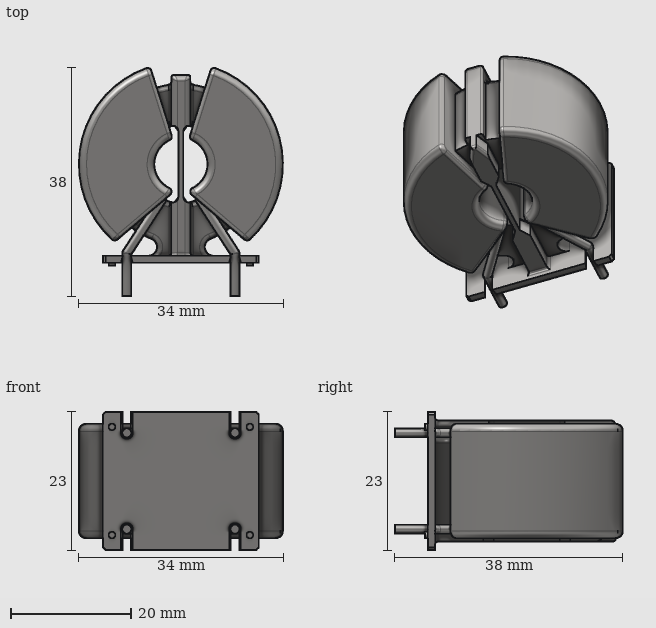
import cadquery as cq
import math


WINDING_OUTER_R = 17.005
WINDING_INNER_R = 4.4
WINDING_HALF_HEIGHT = 9.55
WINDING_ROUND = 1.25
WINDING_END_ROUND = 0.7
REAR_END_ANGLE = 17.5
LEAD_END_ANGLE = 40.3
LEAD_END_OFFSET = 2.75

CASE_OUTER_R = 13.38
CASE_INNER_R = 6.5
CASE_HALF_HEIGHT = 7.3
CASE_ROUND = 0.9
NECK_HALF_WIDTH = 4.0

PLATE_BACK_Y = -15.25
PLATE_THICKNESS = 1.2
PLATE_FRONT_Y = PLATE_BACK_Y - PLATE_THICKNESS
PLATE_WIDTH = 26.0
PLATE_HEIGHT = 23.0
PLATE_CHAMFER = 0.45
FOOT_DIAMETER = 1.1
FOOT_HEIGHT = 0.5
FOOT_X = 11.48
FOOT_Z = 9.0

SPINE_HALF_WIDTH = 1.6
SPINE_HALF_HEIGHT = 10.1
SPINE_END_Y = 14.85
SPINE_TOP_ROUND = 1.0
SPINE_END_ROUND = 0.4
SPINE_FOOT_ROUND = 0.45
WEB_HALF_WIDTH = 0.4
WEB_ROUND = 0.87
LOWER_WEB_END_Y = 5.47
LOWER_SPINE_START_Y = 7.25
LOWER_TAPER_START_Y = 12.43
LOWER_TIP_HALF_WIDTH = 0.55
LOWER_TIP_ROUND = 0.57

WIRE_R = 0.75
WIRE_X = 9.0
WIRE_Z = 8.0
WIRE_BEND_Y = -14.82
WIRE_TIP_Y = -21.95
WIRE_SLOPE = 57.0
WIRE_RUN = 11.02
SLOT_FRONT_WIDTH = 1.98
SLOT_BACK_WIDTH = 1.35


def make_winding():
    """Right-hand winding: a rounded ring section trimmed by two end planes."""
    section = (
        cq.Sketch()
        .rect(WINDING_OUTER_R - WINDING_INNER_R, 2 * WINDING_HALF_HEIGHT)
        .vertices()
        .fillet(WINDING_ROUND)
    )
    mid_r = (WINDING_INNER_R + WINDING_OUTER_R) / 2
    ring = (
        cq.Workplane("XZ", origin=(mid_r, 0, 0))
        .placeSketch(section)
        .revolve(360, (-mid_r, 0, 0), (-mid_r, 1, 0))
    )
    reach = 3 * WINDING_OUTER_R
    rear = math.radians(REAR_END_ANGLE)
    lead = math.radians(LEAD_END_ANGLE)
    tip_distance = LEAD_END_OFFSET / math.cos(lead - rear)
    tip_x = -tip_distance * math.sin(rear)
    tip_y = -tip_distance * math.cos(rear)
    wedge = (
        cq.Workplane("XY", origin=(0, 0, -WINDING_HALF_HEIGHT))
        .moveTo(tip_x, tip_y)
        .lineTo(tip_x + reach * math.cos(lead), tip_y - reach * math.sin(lead))
        .lineTo(reach, reach)
        .lineTo(reach * math.sin(rear), reach * math.cos(rear))
        .close()
        .extrude(2 * WINDING_HALF_HEIGHT)
    )
    return ring.intersect(wedge).faces("%PLANE and #Z").edges().fillet(WINDING_END_ROUND)


def make_case():
    """Ring case with a waisted neck that flares into the base plate."""
    drop = -PLATE_BACK_Y
    half_sum = drop + CASE_OUTER_R - NECK_HALF_WIDTH
    square_gap = NECK_HALF_WIDTH ** 2 + drop ** 2 - CASE_OUTER_R ** 2
    waist_r = half_sum - math.sqrt(half_sum ** 2 - square_gap)
    waist_x = NECK_HALF_WIDTH + waist_r
    waist_y = PLATE_BACK_Y + waist_r
    reach = CASE_OUTER_R / (CASE_OUTER_R + waist_r)
    touch_x = waist_x * reach
    touch_y = waist_y * reach
    outline = (
        cq.Workplane("XY", origin=(0, 0, -CASE_HALF_HEIGHT))
        .moveTo(waist_x, PLATE_BACK_Y)
        .threePointArc((NECK_HALF_WIDTH, waist_y), (touch_x, touch_y))
        .threePointArc((0, CASE_OUTER_R), (-touch_x, touch_y))
        .threePointArc((-NECK_HALF_WIDTH, waist_y), (-waist_x, PLATE_BACK_Y))
        .close()
        .extrude(2 * CASE_HALF_HEIGHT)
    )
    hole = cq.Workplane("XY").circle(CASE_INNER_R).extrude(CASE_HALF_HEIGHT, both=True)
    return outline.cut(hole).faces(">Z").edges("%CIRCLE").fillet(CASE_ROUND)


def make_separator():
    """Thin web across the hole that runs into a spine on either side."""
    spine_length = SPINE_END_Y - PLATE_BACK_Y
    mid_y = (SPINE_END_Y + PLATE_BACK_Y) / 2
    upper_height = SPINE_HALF_HEIGHT + CASE_HALF_HEIGHT
    upper = (
        cq.Workplane("XY", origin=(0, mid_y, -CASE_HALF_HEIGHT))
        .box(2 * SPINE_HALF_WIDTH, spine_length, upper_height, centered=(True, True, False))
    )
    upper = upper.edges("|Z and >Y").fillet(SPINE_END_ROUND)
    upper = upper.faces(">Z").edges("not <Y").fillet(SPINE_TOP_ROUND)

    pocket = (
        cq.Workplane("XY", origin=(0, 0, -CASE_HALF_HEIGHT))
        .circle(CASE_INNER_R)
        .extrude(upper_height)
        .intersect(
            cq.Workplane("XY", origin=(WEB_HALF_WIDTH, 0, -CASE_HALF_HEIGHT))
            .box(CASE_INNER_R, 2 * CASE_INNER_R, upper_height, centered=(False, True, False))
        )
        .edges("|Z and <X")
        .fillet(WEB_ROUND)
    )
    upper = upper.cut(pocket).cut(pocket.mirror("YZ"))

    right_side = [
        (SPINE_HALF_WIDTH, PLATE_BACK_Y),
        (SPINE_HALF_WIDTH, -LOWER_SPINE_START_Y),
        (WEB_HALF_WIDTH, -LOWER_WEB_END_Y),
        (WEB_HALF_WIDTH, LOWER_WEB_END_Y),
        (SPINE_HALF_WIDTH, LOWER_SPINE_START_Y),
        (SPINE_HALF_WIDTH, LOWER_TAPER_START_Y),
        (LOWER_TIP_HALF_WIDTH, SPINE_END_Y),
    ]
    left_side = [(-x, y) for x, y in reversed(right_side)]
    lower = (
        cq.Workplane("XY", origin=(0, 0, -SPINE_HALF_HEIGHT))
        .polyline(right_side + left_side)
        .close()
        .extrude(SPINE_HALF_HEIGHT - CASE_HALF_HEIGHT)
    )
    tip_region = cq.selectors.BoxSelector(
        (-SPINE_HALF_WIDTH, LOWER_TAPER_START_Y, -SPINE_HALF_HEIGHT),
        (SPINE_HALF_WIDTH, SPINE_END_Y + 0.38, -CASE_HALF_HEIGHT),
    )
    lower = lower.faces("<Z").edges(tip_region).fillet(LOWER_TIP_ROUND)
    return upper.union(lower)


def make_plate():
    """Base plate with chamfered corners, four tapered lead slots and four feet."""
    plate = (
        cq.Workplane("XZ", origin=(0, PLATE_BACK_Y, 0))
        .rect(PLATE_WIDTH, PLATE_HEIGHT)
        .extrude(PLATE_THICKNESS)
        .edges("|Y")
        .chamfer(PLATE_CHAMFER)
    )
    taper = math.degrees(math.atan((SLOT_FRONT_WIDTH - SLOT_BACK_WIDTH) / 2 / PLATE_THICKNESS))
    slot_length = PLATE_HEIGHT
    for x in (-WIRE_X, WIRE_X):
        for side in (-1, 1):
            slot = (
                cq.Workplane("XZ", origin=(x, PLATE_FRONT_Y, side * (WIRE_Z + slot_length / 2)))
                .slot2D(slot_length + SLOT_FRONT_WIDTH, SLOT_FRONT_WIDTH, 90)
                .extrude(-PLATE_THICKNESS, taper=taper)
            )
            plate = plate.cut(slot)
    feet = (
        cq.Workplane("XZ", origin=(0, PLATE_FRONT_Y, 0))
        .rect(2 * FOOT_X, 2 * FOOT_Z, forConstruction=True)
        .vertices()
        .circle(FOOT_DIAMETER / 2)
        .extrude(FOOT_HEIGHT)
    )
    return plate.union(feet)


def make_frame():
    """Base plate joined to the separator, with a rounded inside corner all round the spine."""
    margin = 0.05
    joint = cq.selectors.BoxSelector(
        (-SPINE_HALF_WIDTH - margin, PLATE_BACK_Y - margin, -SPINE_HALF_HEIGHT - margin),
        (SPINE_HALF_WIDTH + margin, PLATE_BACK_Y + margin, SPINE_HALF_HEIGHT + margin),
        boundingbox=True,
    )
    return make_plate().union(make_separator()).edges(joint).fillet(SPINE_FOOT_ROUND)


def make_spine_foot():
    """Concave strips along the right side of the spine, on top of the case, that follow its rims."""
    depth = CASE_ROUND / 4
    rim_z = CASE_HALF_HEIGHT - CASE_ROUND
    outer_y = math.sqrt((CASE_OUTER_R - CASE_ROUND) ** 2 - SPINE_HALF_WIDTH ** 2)
    inner_y = math.sqrt((CASE_INNER_R + CASE_ROUND) ** 2 - SPINE_HALF_WIDTH ** 2)
    mid_arc = SPINE_FOOT_ROUND * (1 - math.sqrt(0.5))

    def profile(y):
        """Section of the strip at the given Y, drawn about the centre height of the rim rounding."""
        return (
            cq.Workplane("XZ", origin=(SPINE_HALF_WIDTH, y, rim_z))
            .moveTo(0, CASE_ROUND - depth)
            .lineTo(SPINE_FOOT_ROUND, CASE_ROUND - depth)
            .lineTo(SPINE_FOOT_ROUND, CASE_ROUND)
            .threePointArc((mid_arc, CASE_ROUND + mid_arc), (0, CASE_ROUND + SPINE_FOOT_ROUND))
            .close()
        )

    front = profile(-inner_y).extrude(-inner_y - PLATE_BACK_Y)
    back = profile(outer_y).extrude(outer_y - inner_y)
    strips = front.union(back)
    for y, turn in ((outer_y, -1), (inner_y, 1), (-inner_y, -1)):
        strips = strips.union(profile(y).revolve(90, (0, 0, 0), (turn, 0, 0)))
    hole = cq.Workplane("XY").circle(CASE_INNER_R).extrude(SPINE_HALF_HEIGHT)
    return strips.cut(hole)


def make_lead():
    """Right-hand upper lead: a straight pin, a ball-shaped bend and a run to the winding."""
    bend = (WIRE_X, WIRE_BEND_Y, WIRE_Z)
    slope = math.radians(WIRE_SLOPE)
    run_dir = cq.Vector(-math.cos(slope), math.sin(slope), 0)
    pin = cq.Solid.makeCylinder(WIRE_R, WIRE_BEND_Y - WIRE_TIP_Y, cq.Vector(*bend), cq.Vector(0, -1, 0))
    run = cq.Solid.makeCylinder(WIRE_R, WIRE_RUN, cq.Vector(*bend), run_dir)
    ball = cq.Workplane("XY", origin=bend).sphere(WIRE_R)
    return ball.union(cq.Workplane(pin)).union(cq.Workplane(run))


spine_foot = make_spine_foot()
right_winding = make_winding()
upper_right_lead = make_lead()
upper_leads = upper_right_lead.union(upper_right_lead.mirror("YZ"))

result = (
    make_case()
    .union(make_frame())
    .union(spine_foot)
    .union(spine_foot.mirror("YZ"))
    .union(right_winding)
    .union(right_winding.mirror("YZ"))
    .union(upper_leads)
    .union(upper_leads.mirror("XY"))
)